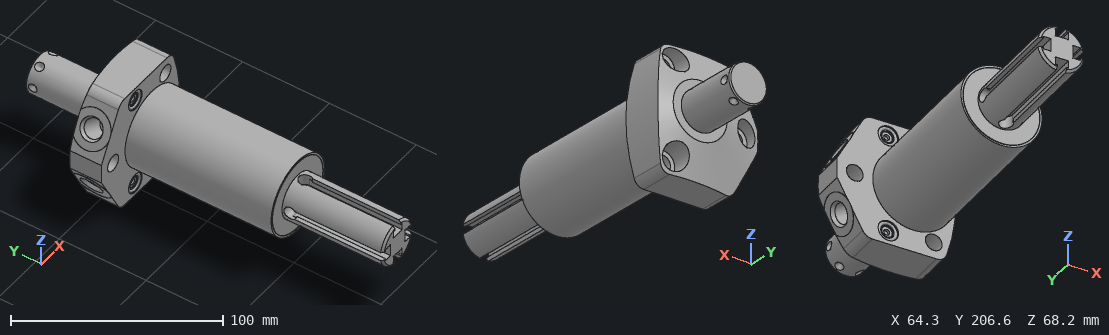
import cadquery as cq
import math


body_diameter = 44.0
body_length = 84.0
body_rim_width = 1.2
body_recess_depth = 0.3
key_shaft_diameter = 25.2
key_shaft_length = 57.5
key_shaft_chamfer = 1.2
rear_shaft_diameter = 22.4
rear_shaft_length = 37.55
rear_shaft_chamfer = 0.7

slot_count = 4
slot_mouth_width = 5.0
slot_base_width = 7.0
slot_floor_radius = 6.0
slot_lip_radius = 10.0
slot_end_gap = 0.8

flange_thickness = 27.5
flange_height = 68.22
flange_left = -41.29
flange_right = 23.0
left_flat_half_height = 5.6
side_angle = 61.5
right_arc_radius = 95.0
flange_corner_radius = 6.0
cone_top_radius = 16.0
cone_slope = 20.0

mount_hole_diameter = 9.0
mount_head_diameter = 14.0
mount_head_floor = 13.0
mount_left_x = -31.75
mount_right_x = 11.0
mount_right_z = 25.3

port_z = 18.15
port_y = 10.6
port_diameter = 10.4
port_lead_in_width = 1.1
port_lead_in_depth = 2.0
port_depth = 16.8
port_face_diameter = 21.4
port_face_depth = 0.15

seal_x = -13.6
seal_z = 26.6
seal_outer_diameter = 11.0
seal_bead_radius = 0.95
socket_diameter = 6.0
socket_depth = 0.6
pilot_diameter = 3.1
pilot_depth = 1.5

dimple_count = 6
dimple_diameter = 5.0
dimple_depth = 2.5
dimple_inset = 4.3

half_height = flange_height / 2
body_front_y = -body_length
recess_floor_y = body_front_y + body_recess_depth
key_end_y = body_front_y - key_shaft_length
rear_end_y = flange_thickness + rear_shaft_length
side_run_per_rise = 1 / math.tan(math.radians(side_angle))
BACKWARD = cq.Vector(0, 1, 0)


def rod(diameter, start_y, end_y, x=0, z=0):
    """Cylinder along Y between two stations."""
    return cq.Workplane(cq.Solid.makeCylinder(
        diameter / 2, end_y - start_y, cq.Vector(x, start_y, z), BACKWARD))


def side_x(z):
    """X of the oblique flange side at height z above the left flat."""
    return flange_left + (abs(z) - left_flat_half_height) * side_run_per_rise


def make_flange():
    corner_x = side_x(half_height)
    arc_drop = right_arc_radius - math.sqrt(right_arc_radius**2 - half_height**2)
    arc_end_x = flange_right - arc_drop
    outline = (
        cq.Workplane("XZ")
        .moveTo(flange_left, -left_flat_half_height)
        .lineTo(corner_x, -half_height)
        .lineTo(arc_end_x, -half_height)
        .threePointArc((flange_right, 0), (arc_end_x, half_height))
        .lineTo(corner_x, half_height)
        .lineTo(flange_left, left_flat_half_height)
        .close()
    )
    prism = outline.extrude(-flange_thickness)
    long_edges = prism.faces(">Z").edges("|Y").add(prism.faces("<Z").edges("|Y"))
    prism = prism.newObject(long_edges.vals()).fillet(flange_corner_radius)
    cone_base_radius = cone_top_radius + flange_thickness / math.tan(math.radians(cone_slope))
    envelope = (
        cq.Workplane("XY")
        .polyline([
            (0, 0),
            (cone_base_radius, 0),
            (cone_top_radius, flange_thickness),
            (0, flange_thickness),
        ])
        .close()
        .revolve(360, (0, 0, 0), (0, 1, 0))
    )
    return prism.intersect(envelope)


def make_body():
    recess_diameter = body_diameter - 2 * body_rim_width
    recess = rod(recess_diameter, body_front_y, recess_floor_y)
    return rod(body_diameter, body_front_y, 0).cut(recess)


def make_key_shaft():
    shaft = rod(key_shaft_diameter, key_end_y, recess_floor_y).faces("<Y").chamfer(key_shaft_chamfer)
    slot_end_y = body_front_y - slot_end_gap - slot_base_width / 2
    slot_length = slot_end_y - key_end_y
    cut_height = key_shaft_diameter / 2
    mouth = cq.Workplane("XY").box(
        slot_mouth_width, slot_length, cut_height, centered=(True, False, False)
    ).translate((0, key_end_y, slot_floor_radius))
    base = cq.Workplane("XY").box(
        slot_base_width, slot_length, slot_lip_radius - slot_floor_radius, centered=(True, False, False)
    ).translate((0, key_end_y, slot_floor_radius))
    round_end = (
        cq.Workplane("XY", origin=(0, slot_end_y, slot_floor_radius))
        .circle(slot_base_width / 2)
        .extrude(cut_height)
    )
    slot = mouth.union(base).union(round_end)
    for i in range(slot_count):
        shaft = shaft.cut(slot.rotate((0, 0, 0), (0, 1, 0), i * 360 / slot_count))
    return shaft


def make_rear_shaft():
    shaft = rod(rear_shaft_diameter, 0, rear_end_y).faces(">Y").chamfer(rear_shaft_chamfer)
    surface_radius = rear_shaft_diameter / 2
    for i in range(dimple_count):
        angle = math.radians(i * 360 / dimple_count)
        outward = cq.Vector(math.cos(angle), 0, math.sin(angle))
        tip = outward * (surface_radius - dimple_depth) + cq.Vector(0, rear_end_y - dimple_inset, 0)
        dimple = cq.Solid.makeCone(0, dimple_diameter / 2, dimple_depth, tip, outward)
        shaft = shaft.cut(cq.Workplane(dimple))
    return shaft


def cut_mount_holes(part):
    places = [(mount_left_x, 0), (mount_right_x, mount_right_z), (mount_right_x, -mount_right_z)]
    for x, z in places:
        part = part.cut(rod(mount_hole_diameter, 0, flange_thickness, x, z))
        part = part.cut(rod(mount_head_diameter, mount_head_floor, flange_thickness, x, z))
    return part


def cut_ports(part):
    slope = math.radians(side_angle)
    for side in (1, -1):
        inward = cq.Vector(math.sin(slope), 0, -side * math.cos(slope))
        mouth = cq.Vector(side_x(port_z), port_y, side * port_z)
        bore = cq.Solid.makeCylinder(port_diameter / 2, port_depth, mouth, inward)
        seat = cq.Solid.makeCylinder(port_face_diameter / 2, port_face_depth, mouth, inward)
        lead_in = cq.Solid.makeCone(
            port_diameter / 2 + port_lead_in_width, port_diameter / 2, port_lead_in_depth,
            mouth + inward * port_face_depth, inward)
        for cutter in (bore, seat, lead_in):
            part = part.cut(cq.Workplane(cutter))
    return part


def add_seal_sockets(part):
    recess_floor = seal_bead_radius
    socket_floor = recess_floor + socket_depth
    bead_path_radius = seal_outer_diameter / 2 - seal_bead_radius
    for z in (seal_z, -seal_z):
        bead = cq.Solid.makeTorus(
            bead_path_radius, seal_bead_radius, cq.Vector(seal_x, recess_floor, z), BACKWARD)
        part = part.cut(rod(seal_outer_diameter, 0, recess_floor, seal_x, z))
        part = part.union(cq.Workplane(bead))
        part = part.cut(rod(socket_diameter, recess_floor, socket_floor, seal_x, z))
        part = part.cut(rod(pilot_diameter, socket_floor, socket_floor + pilot_depth, seal_x, z))
    return part


flange = add_seal_sockets(cut_ports(cut_mount_holes(make_flange())))
result = flange.union(make_body()).union(make_key_shaft()).union(make_rear_shaft())